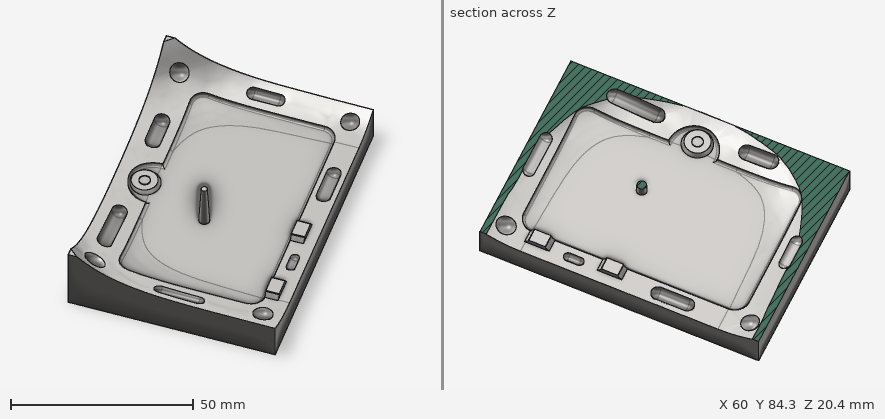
import cadquery as cq
import math

LENGTH_X = 60.0
WIDTH_Y = 84.3
BLOCK_HEIGHT = 19.9

FLOOR_Z = 8.35
FLANK_RADIUS = 29.9
OVERRUN = 0.85
BOWL_TOP = BLOCK_HEIGHT + OVERRUN
FLOOR_HALF_WIDTH = 29.85
RIM_HALF = [(38.9, 29.25), (24.0, 27.2), (16.35, 22.85), (12.05, 14.4)]
RIM_APEX = (10.3, 0.0)

POCKET_DEPTH = 1.0
POCKET_X_MIN = 10.9
POCKET_X_MAX = 52.9
POCKET_HALF_WIDTH = 34.1
POCKET_CORNER = 4.2
POCKET_FILLET = 0.85
BAY_CENTRE = (10.9, -0.25)
BAY_RADIUS = 7.3

SEAT_CENTRE = (8.0, -0.2)
SEAT_BASE_RADIUS = 4.55
SEAT_TOP_RADIUS = 3.7
SEAT_TOP_Z = 8.5
SEAT_HOLE_RADIUS = 1.6
SEAT_HOLE_DEPTH = 0.25

PIN_CENTRE = (27.9, -7.9)
PIN_BASE_RADIUS = 1.5
PIN_TOP_RADIUS = 0.85
PIN_TOP_Z = 20.4

PAD_CENTRES_Y = [-4.5, -26.4]
PAD_X_MAX = 56.7
PAD_BASE_WIDTH = 7.4
PAD_SLOPE = 1.2
PAD_LIP = 0.4

SLOTS_ALONG_Y = [
    (5.8, 17.4, 9.1, 11.9, 4.4, 0.0),
    (5.2, -20.1, 9.5, 17.3, 4.4, 7.0),
    (56.4, 14.5, FLOOR_Z, 12.8, 4.05, 0.0),
    (56.15, -15.5, FLOOR_Z, 6.0, 2.5, 0.0),
]
SLOTS_ALONG_X = [
    (30.3, 38.0, 10.1, 11.0, 3.5),
    (30.85, -38.0, 10.1, 14.6, 3.5),
]

SOCKETS = [
    ((5.9, 35.9, 13.4), 2.7, 0.0),
    ((55.0, 37.3, 9.3), 2.6, 0.0),
    ((54.6, -36.7, 9.1), 2.8, 0.0),
    ((5.9, -36.8, 13.8), 3.1, 0.63),
]
SOCKET_DEPTH = 1.8
RIM_SAMPLES = 400


def rim_points():
    mirrored = [(x, -y) for x, y in reversed(RIM_HALF)]
    return RIM_HALF + [RIM_APEX] + mirrored + [(LENGTH_X, -FLOOR_HALF_WIDTH)]


def rim_curve(workplane):
    """Curved part of the bowl floor's rim, drawn from the +Y end at the +X side of the block."""
    return workplane.spline(rim_points(), tangents=[(-1, 0), (1, 0)], includeCurrent=True)


def bowl_volume(depth):
    """Space above the bowl surface, with that surface moved down by depth."""
    floor_z = FLOOR_Z - depth
    x_end = LENGTH_X + OVERRUN
    radius = FLANK_RADIUS + depth
    rise = BOWL_TOP - floor_z
    reach = math.sqrt(radius**2 - (radius - rise) ** 2)
    mid_rise = rise / 3
    mid_reach = math.sqrt(radius**2 - (radius - mid_rise) ** 2)

    def rim(workplane):
        straight = workplane.moveTo(x_end, FLOOR_HALF_WIDTH).lineTo(LENGTH_X, FLOOR_HALF_WIDTH)
        return rim_curve(straight).lineTo(x_end, -FLOOR_HALF_WIDTH)

    floor_plane = cq.Workplane("XY").workplane(offset=floor_z)
    middle = rim(floor_plane).close().extrude(rise)
    flank = (
        cq.Workplane("YZ", origin=(x_end, FLOOR_HALF_WIDTH, floor_z))
        .threePointArc((mid_reach, mid_rise), (reach, rise))
        .lineTo(0, rise)
        .close()
        .sweep(rim(floor_plane))
    )
    return middle.union(flank)


def recess(prism):
    """Part of a vertical prism above the pocket floor, rounded where its walls meet that floor."""
    volume = prism.intersect(bowl_volume(POCKET_DEPTH))
    walls = volume.faces("|X or |Y or %CYLINDER")
    return walls.edges("(not |Z) and (not >Z)").fillet(POCKET_FILLET)


def pocket():
    outline = (
        cq.Workplane("XY")
        .center((POCKET_X_MIN + POCKET_X_MAX) / 2, 0)
        .rect(POCKET_X_MAX - POCKET_X_MIN, 2 * POCKET_HALF_WIDTH)
        .extrude(BOWL_TOP)
        .edges("|Z")
        .fillet(POCKET_CORNER)
    )
    bay = cq.Workplane("XY").center(*BAY_CENTRE).circle(BAY_RADIUS).extrude(BOWL_TOP)
    return recess(outline).union(recess(bay))


def frustum(centre, bottom_z, top_z, bottom_radius, top_radius):
    foot = cq.Vector(*centre, bottom_z)
    return cq.Workplane(cq.Solid.makeCone(bottom_radius, top_radius, top_z - bottom_z, foot))


def disc(centre, bottom_z, radius, height):
    return cq.Workplane("XY", origin=(*centre, bottom_z)).circle(radius).extrude(height)


def capsule(length, width):
    """Round-ended bar along X, centred on the origin."""
    radius = width / 2
    tip = length / 2
    shoulder = tip - radius
    diagonal = radius * math.sqrt(0.5)
    return (
        cq.Workplane("XY")
        .moveTo(-tip, 0)
        .threePointArc((-shoulder - diagonal, diagonal), (-shoulder, radius))
        .lineTo(shoulder, radius)
        .threePointArc((shoulder + diagonal, diagonal), (tip, 0))
        .close()
        .revolve(360, (0, 0, 0), (1, 0, 0))
    )


def slot_along_y(x, y, z, length, width, climb):
    level = capsule(length, width).rotate((0, 0, 0), (0, 0, 1), 90)
    return level.rotate((0, 0, 0), (1, 0, 0), -climb).translate((x, y, z))


def socket(mouth, mouth_radius, flat_radius):
    """Sphere that meets the flank in a circle around mouth, with its pole cut flat."""
    start = cq.Workplane("XY").moveTo(LENGTH_X, FLOOR_HALF_WIDTH)
    rim = rim_curve(start).val()
    point = cq.Vector(*mouth)
    below_mouth = cq.Vector(point.x, point.y, 0)
    samples = [rim.positionAt(step / RIM_SAMPLES) for step in range(RIM_SAMPLES + 1)]
    foot = min(samples, key=lambda sample: (sample - below_mouth).Length)
    arc_centre = foot + cq.Vector(0, 0, FLOOR_Z + FLANK_RADIUS)
    inward = (arc_centre - point).normalized()
    radius = (mouth_radius**2 + SOCKET_DEPTH**2) / (2 * SOCKET_DEPTH)
    centre = point + inward * (radius - SOCKET_DEPTH)
    flat_latitude = -math.degrees(math.acos(flat_radius / radius))
    return cq.Workplane(cq.Solid.makeSphere(radius, centre, inward, flat_latitude, 90, 360))


def pad(y):
    half = PAD_BASE_WIDTH / 2
    inner = half - PAD_SLOPE
    top = PAD_SLOPE + PAD_LIP
    profile = [(-half, 0), (-inner, PAD_SLOPE), (-inner, top), (inner, top), (inner, PAD_SLOPE), (half, 0)]
    return (
        cq.Workplane("YZ", origin=(POCKET_X_MAX, y, FLOOR_Z))
        .polyline(profile)
        .close()
        .extrude(PAD_X_MAX - POCKET_X_MAX)
    )


def add_seat(body):
    base_z = FLOOR_Z - POCKET_DEPTH
    clearance = disc(SEAT_CENTRE, SEAT_TOP_Z, SEAT_TOP_RADIUS, BOWL_TOP - SEAT_TOP_Z)
    boss = frustum(SEAT_CENTRE, base_z, SEAT_TOP_Z, SEAT_BASE_RADIUS, SEAT_TOP_RADIUS)
    hole = disc(SEAT_CENTRE, SEAT_TOP_Z, SEAT_HOLE_RADIUS, -SEAT_HOLE_DEPTH)
    return body.cut(clearance).union(boss).cut(hole)


block = cq.Workplane("XY").box(LENGTH_X, WIDTH_Y, BLOCK_HEIGHT, centered=(False, True, False))
result = block.cut(bowl_volume(0)).cut(pocket())

for slot in SLOTS_ALONG_Y:
    result = result.cut(slot_along_y(*slot))
for x, y, z, length, width in SLOTS_ALONG_X:
    result = result.cut(capsule(length, width).translate((x, y, z)))
for mouth, mouth_radius, flat_radius in SOCKETS:
    result = result.cut(socket(mouth, mouth_radius, flat_radius))
for y in PAD_CENTRES_Y:
    result = result.union(pad(y))

result = add_seat(result)
pin = frustum(PIN_CENTRE, FLOOR_Z - POCKET_DEPTH, PIN_TOP_Z, PIN_BASE_RADIUS, PIN_TOP_RADIUS)
result = result.union(pin)